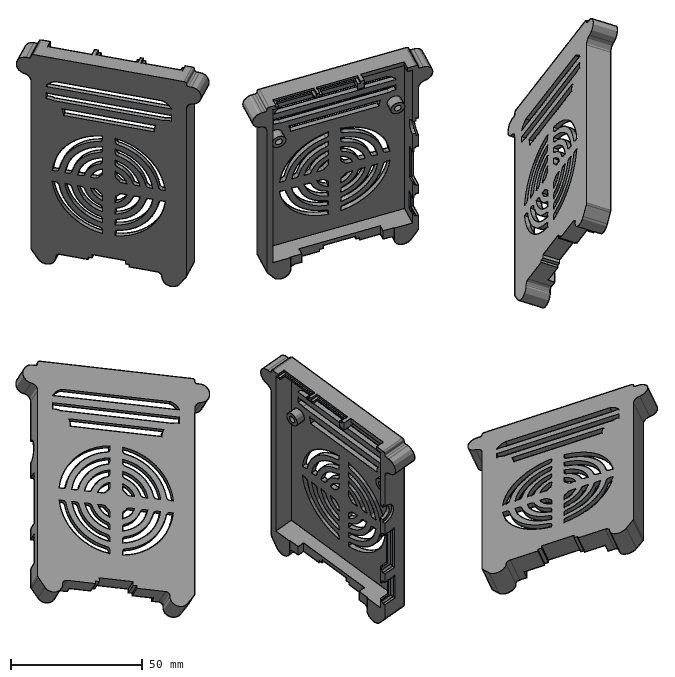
import cadquery as cq
import math


height = 96.25
total_width = 73.8
depth = 10.3
body_half = 31.1
end_wall = 2.0
side_wall = 2.5
plate = 2.0

lobe_radius = 3.85
ear_x = total_width / 2 - lobe_radius
ear_z = 90.5
ear_fillet = 3.0
top_corner = 1.0
top_notch_fillet = 0.8
foot_x = 25.0
foot_z = lobe_radius
bottom_edge = 5.6
flank_corner_z = 5.8
flank_fillet = 1.4

card_outer_half = 8.2
card_inner_half = 6.6
card_step_z = 6.6
card_top_z = 8.2

bottom_wall_y = 10.0
bottom_gap_half = 16.65
bottom_gap_y = 7.1

fan_z = 41.5
fan_outer_radius = 22.7
ring_pitch = 5.0
ring_width = ring_pitch / 2
ring_count = 4
spoke_width = 5.1
ring_end_fillet = 1.3

vent_half = 25.0
vent_1_bottom, vent_1_top = 82.5, 85.5
vent_1_top_half = 21.4
vent_1_bulge_x, vent_1_bulge_z = 23.7, 84.2
vent_2_bottom, vent_2_top = 76.5, 79.4
vent_3_bottom, vent_3_top = 70.5, 73.4
vent_3_half = 19.6

boss_x = 24.35
boss_z = 70.6
boss_diameter = 5.8
boss_hole_diameter = 2.8
boss_top = 5.8
boss_margin_radius = 6.3
boss_centres = [(-boss_x, boss_z), (boss_x, boss_z)]

plain_port = (-26.6, -8.9, 6.8)
stepped_ports = ((-7.3, 9.4), (10.6, 27.3))
port_floor = 7.1
port_lip_side = 1.2
port_lip_floor = 0.7
port_lip_thickness = 1.0
rib_height = 1.9

large_port = ((30.3, 51.6, 5.2), (31.1, 51.0, 5.5), (32.6, 49.2, 7.1))
small_port = ((13.6, 25.7, 4.9), (14.2, 25.1, 5.5), (15.1, 24.1, 6.5))
mouth_depth = 1.0
taper_depth = 0.9
jack_z = 62.5
jack_recess_radius = 4.6
jack_hole_radius = 3.4
jack_recess_depth = 1.1


def extrude_y(sketch, start, end):
    """Extrude an XZ sketch along +Y between two depths."""
    return sketch.extrude(start - end).translate((0, start, 0))


def front():
    return cq.Workplane("XZ")


def box(x_range, y_range, z_range):
    spans = [high - low for low, high in (x_range, y_range, z_range)]
    corner = (x_range[0], y_range[0], z_range[0])
    return cq.Workplane("XY").box(*spans, centered=False).translate(corner)


def on_circle(x, z, radius, angle):
    return (x + radius * math.cos(angle), z + radius * math.sin(angle))


def outline_half():
    """The +X half of the outline, from the bottom of the centre line to its top."""
    leg_fillet = bottom_edge - foot_z
    leg_x = foot_x - lobe_radius - leg_fillet

    corner_x, corner_z = body_half - foot_x, flank_corner_z - foot_z
    spread = math.acos(lobe_radius / math.hypot(corner_x, corner_z))
    flank = math.atan2(corner_z, corner_x) - spread

    blend_x = body_half + ear_fillet
    blend_z = ear_z - math.sqrt((lobe_radius + ear_fillet) ** 2 - (blend_x - ear_x) ** 2)
    blend = math.atan2(blend_z - ear_z, blend_x - ear_x)
    blend_mid = math.pi + blend / 2

    ear_top = ear_z + lobe_radius
    notch_x = body_half + top_notch_fillet
    notch_z = ear_top + top_notch_fillet
    top_x, top_z = body_half - top_corner, height - top_corner

    return (
        front()
        .moveTo(0, card_top_z)
        .lineTo(card_inner_half, card_top_z)
        .lineTo(card_inner_half, card_step_z)
        .lineTo(card_outer_half, card_step_z)
        .lineTo(card_outer_half, bottom_edge)
        .lineTo(leg_x, bottom_edge)
        .threePointArc(on_circle(leg_x, foot_z, leg_fillet, math.pi / 4), (leg_x + leg_fillet, foot_z))
        .threePointArc((foot_x, 0), on_circle(foot_x, foot_z, lobe_radius, flank))
        .lineTo(body_half, flank_corner_z)
        .lineTo(body_half, blend_z)
        .threePointArc(
            on_circle(blend_x, blend_z, ear_fillet, blend_mid),
            on_circle(ear_x, ear_z, lobe_radius, blend),
        )
        .threePointArc((ear_x + lobe_radius, ear_z), (ear_x, ear_top))
        .lineTo(notch_x, ear_top)
        .threePointArc(
            on_circle(notch_x, notch_z, top_notch_fillet, -3 * math.pi / 4),
            (body_half, notch_z),
        )
        .lineTo(body_half, top_z)
        .threePointArc(on_circle(top_x, top_z, top_corner, math.pi / 4), (top_x, height))
        .lineTo(0, height)
        .close()
    )


def make_shell():
    half = extrude_y(outline_half(), 0, depth)
    flank_corner = cq.selectors.NearestToPointSelector((body_half, depth / 2, flank_corner_z))
    half = half.edges("|Y").edges(flank_corner).fillet(flank_fillet)
    shell = half.union(half.mirror("YZ"))
    inner_half = body_half - side_wall
    cavity_bottom = card_top_z + end_wall
    cavity = box((-inner_half, inner_half), (plate, depth), (cavity_bottom, height - end_wall))
    return shell.cut(cavity)


def make_vents():
    rounded = extrude_y(
        front()
        .moveTo(-vent_half, vent_1_bottom)
        .lineTo(vent_half, vent_1_bottom)
        .threePointArc((vent_1_bulge_x, vent_1_bulge_z), (vent_1_top_half, vent_1_top))
        .lineTo(-vent_1_top_half, vent_1_top)
        .threePointArc((-vent_1_bulge_x, vent_1_bulge_z), (-vent_half, vent_1_bottom))
        .close(),
        0,
        plate,
    )
    straight = box((-vent_half, vent_half), (0, plate), (vent_2_bottom, vent_2_top))
    short = box((-vent_3_half, vent_3_half), (0, plate), (vent_3_bottom, vent_3_top))
    margin = extrude_y(front().pushPoints(boss_centres).circle(boss_margin_radius), 0, plate)
    return straight.union(short).cut(margin).union(rounded)


def grille_slot(outer):
    """One quarter-ring slot in the +X +Z quadrant around the fan axis, rounded on its inner arc ends."""
    inner = outer - ring_width
    near = spoke_width / 2
    inner_far = math.sqrt(inner ** 2 - near ** 2)
    outer_far = math.sqrt(outer ** 2 - near ** 2)
    sketch = (
        front()
        .moveTo(near, inner_far)
        .lineTo(near, outer_far)
        .threePointArc(on_circle(0, 0, outer, math.pi / 4), (outer_far, near))
        .lineTo(inner_far, near)
        .threePointArc(on_circle(0, 0, inner, math.pi / 4), (near, inner_far))
        .close()
    )
    slot = extrude_y(sketch, 0, plate)
    for x, z in ((near, inner_far), (inner_far, near)):
        inner_corner = cq.selectors.NearestToPointSelector((x, plate / 2, z))
        slot = slot.edges("|Y").edges(inner_corner).fillet(ring_end_fillet)
    return slot


def make_grille():
    grille = cq.Workplane("XY")
    for ring in range(ring_count):
        slot = grille_slot(fan_outer_radius - ring * ring_pitch)
        for quarter in range(4):
            grille = grille.add(slot.rotate((0, 0, 0), (0, 1, 0), 90 * quarter))
    return grille.translate((0, 0, fan_z)).combine()


def make_bosses():
    """Hollow posts on the inner face of the plate; their holes stop at the plate."""
    tubes = front().pushPoints(boss_centres).circle(boss_diameter / 2)
    holes = front().pushPoints(boss_centres).circle(boss_hole_diameter / 2)
    return extrude_y(tubes, plate, boss_top).cut(extrude_y(holes, plate, boss_top))


def make_rib():
    """Thickens the top wall behind the post between the plain port and its stepped neighbour."""
    x_range = (plain_port[1], stepped_ports[0][0] + port_lip_side)
    bottom = height - end_wall - rib_height
    return box(x_range, (plate, depth), (bottom, height - end_wall))


def make_top_ports():
    """Openings in the top wall; the stepped ones leave a smaller opening in a thin inner lip."""
    x_from, x_to, floor = plain_port
    ports = box((x_from, x_to), (floor, depth), (height - end_wall, height))
    for x_from, x_to in stepped_ports:
        recess = box((x_from, x_to), (port_floor, depth), (height - end_wall + port_lip_thickness, height))
        lip_x = (x_from + port_lip_side, x_to - port_lip_side)
        opening = box(lip_x, (port_floor + port_lip_floor, depth), (height - end_wall, height))
        ports = ports.union(recess).union(opening)
    return ports


def port_rect(workplane, opening):
    """Rectangle reaching from the floor of an opening to the same distance beyond the open back."""
    z_from, z_to, floor = opening
    return workplane.center(depth, (z_from + z_to) / 2).rect(2 * (depth - floor), z_to - z_from)


def side_port(mouth, throat, lip):
    """Opening in the -X wall: straight mouth, taper down to the throat, smaller opening in the lip."""
    outside = -body_half
    taper_start = outside + mouth_depth

    def plane(x):
        return cq.Workplane("YZ", origin=(x, 0, 0))

    mouth_cut = port_rect(plane(outside), mouth).extrude(mouth_depth)
    lip_cut = port_rect(plane(outside), lip).extrude(side_wall)
    mouth_wire = port_rect(plane(taper_start), mouth).wires().val()
    throat_wire = port_rect(plane(taper_start + taper_depth), throat).wires().val()
    taper = cq.Workplane(cq.Solid.makeLoft([mouth_wire, throat_wire], True))
    return mouth_cut.union(taper).union(lip_cut)


def make_jack():
    """Half-round opening in the -X wall, stepped down to a smaller hole in the lip."""
    seat = cq.Workplane("YZ", origin=(-body_half, depth, jack_z))
    recess = seat.circle(jack_recess_radius).extrude(jack_recess_depth)
    return recess.union(seat.circle(jack_hole_radius).extrude(side_wall))


def make_bottom_wall_relief():
    """Lowers the middle of the bottom wall and opens a wide gap in it."""
    z_range = (0, card_top_z + end_wall)
    shoulder_half = foot_x - lobe_radius
    shoulder = box((-shoulder_half, shoulder_half), (bottom_wall_y, depth), z_range)
    gap = box((-bottom_gap_half, bottom_gap_half), (bottom_gap_y, depth), z_range)
    return shoulder.union(gap)


result = (
    make_shell()
    .union(make_rib())
    .union(make_bosses())
    .cut(make_vents())
    .cut(make_grille())
    .cut(make_top_ports())
    .cut(side_port(*large_port))
    .cut(side_port(*small_port))
    .cut(make_jack())
    .cut(make_bottom_wall_relief())
)